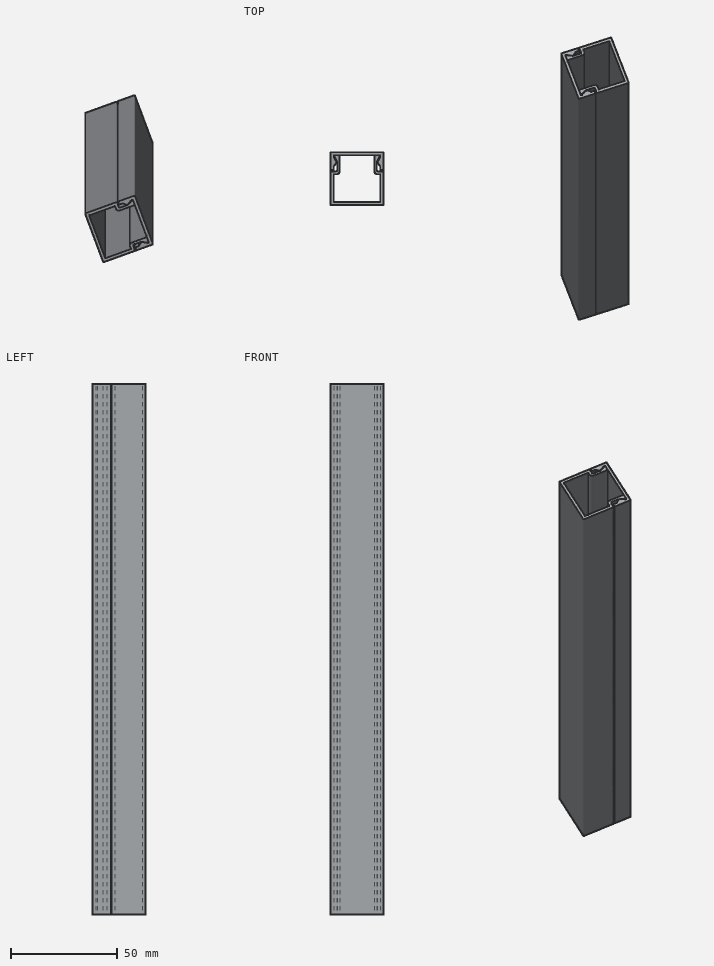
import cadquery as cq

WIDTH = 25.0
DEPTH = 25.0
LENGTH = 250.0
WALL = 1.55
CORNER_RADIUS = 0.3

SKIRT_DEPTH = 8.5
RIDGE_START = 2.2
RIDGE_PEAK = 4.8
RIDGE_END = 6.7
RIDGE_HEIGHT = 1.5

SEAM_GAP = 0.5
HOOK_CLEARANCE = 0.05
ARM_THICKNESS = 1.2
SHELF_THICKNESS = 1.5
OUTER_BEND_RADIUS = 1.5
INNER_BEND_RADIUS = 0.5

side_x = WIDTH / 2
wall_x = side_x - WALL
ridge_x = wall_x - RIDGE_HEIGHT
hook_x = wall_x - HOOK_CLEARANCE
arm_outer_x = ridge_x - HOOK_CLEARANCE
arm_inner_x = arm_outer_x - ARM_THICKNESS

floor_outer_y = -DEPTH / 2
floor_inner_y = floor_outer_y + WALL
cover_outer_y = DEPTH / 2
cover_inner_y = cover_outer_y - WALL
ridge_start_y = cover_outer_y - RIDGE_START
ridge_peak_y = cover_outer_y - RIDGE_PEAK
ridge_end_y = cover_outer_y - RIDGE_END
skirt_end_y = cover_outer_y - SKIRT_DEPTH
shelf_top_y = skirt_end_y - SEAM_GAP
shelf_bottom_y = shelf_top_y - SHELF_THICKNESS


def extrude_mirrored(half_outline):
    """Extrude the +X half of a section and join it to its mirror image across X = 0."""
    half = half_outline.close().extrude(LENGTH).translate((0, 0, -LENGTH / 2))
    return half.union(half.mirror("YZ")).clean()


def make_base():
    """Open channel with a shelf and a hooked arm along each side wall."""
    half_outline = (
        cq.Workplane("XY")
        .moveTo(0, floor_outer_y)
        .lineTo(side_x - CORNER_RADIUS, floor_outer_y)
        .radiusArc((side_x, floor_outer_y + CORNER_RADIUS), -CORNER_RADIUS)
        .lineTo(side_x, shelf_top_y - CORNER_RADIUS)
        .radiusArc((side_x - CORNER_RADIUS, shelf_top_y), -CORNER_RADIUS)
        .lineTo(arm_outer_x + INNER_BEND_RADIUS, shelf_top_y)
        .radiusArc((arm_outer_x, shelf_top_y + INNER_BEND_RADIUS), INNER_BEND_RADIUS)
        .lineTo(arm_outer_x, ridge_peak_y)
        .lineTo(hook_x, cover_inner_y)
        .lineTo(arm_inner_x, cover_inner_y)
        .lineTo(arm_inner_x, shelf_bottom_y + OUTER_BEND_RADIUS)
        .radiusArc((arm_inner_x + OUTER_BEND_RADIUS, shelf_bottom_y), -OUTER_BEND_RADIUS)
        .lineTo(wall_x, shelf_bottom_y)
        .lineTo(wall_x, floor_inner_y)
        .lineTo(0, floor_inner_y)
    )
    return extrude_mirrored(half_outline)


def make_cover():
    """Flat lid with two skirts, each carrying a pointed ridge that snaps under an arm's hook."""
    half_outline = (
        cq.Workplane("XY")
        .moveTo(0, cover_outer_y)
        .lineTo(side_x - CORNER_RADIUS, cover_outer_y)
        .radiusArc((side_x, cover_outer_y - CORNER_RADIUS), CORNER_RADIUS)
        .lineTo(side_x, skirt_end_y)
        .lineTo(wall_x, skirt_end_y)
        .lineTo(wall_x, ridge_end_y)
        .lineTo(ridge_x, ridge_peak_y)
        .lineTo(wall_x, ridge_start_y)
        .lineTo(wall_x, cover_inner_y)
        .lineTo(0, cover_inner_y)
    )
    return extrude_mirrored(half_outline)


base = make_base()
cover = make_cover()
result = cq.Compound.makeCompound([base.val(), cover.val()])